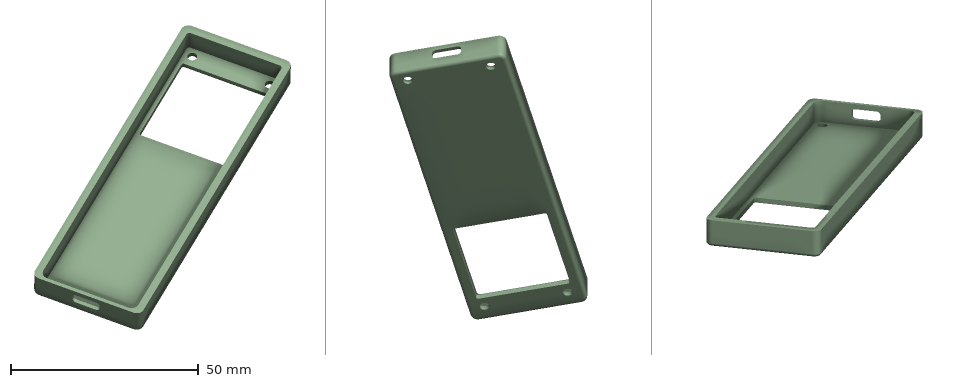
import cadquery as cq
import math

WIDTH = 31.94
OVERALL_LENGTH = 96.15
HEIGHT = 7.5
CORNER_RADIUS = 2.0
BOTTOM_FILLET = 0.95

LEAN_ANGLE = 0.35
SEAM_HEIGHT_BACK = 1.2
LEAN_SLOPE = math.tan(math.radians(LEAN_ANGLE))

BASE_LENGTH = OVERALL_LENGTH - LEAN_SLOPE * (HEIGHT - SEAM_HEIGHT_BACK)
BASE_FRONT = -BASE_LENGTH / 2
BASE_BACK = BASE_LENGTH / 2

FLOOR_THICKNESS = 1.4
SIDE_WALL = 2.0
FRONT_WALL = 1.05
BACK_WALL = 2.35
POCKET_FRONT_RADIUS = 2.0
POCKET_BACK_RADIUS = 1.0

WINDOW_WIDTH = 25.7
WINDOW_LENGTH = 27.2
WINDOW_BACK_MARGIN = 8.1
WINDOW_RADIUS = 0.6

HOLE_DIAMETER = 2.6
HOLE_SPACING_X = 22.8
BACK_HOLE_MARGIN = 4.95
FRONT_HOLE_MARGIN = 3.5

SLOT_WIDTH = 8.0
SLOT_HEIGHT = 3.0
SLOT_RADIUS = 1.0
SLOT_DROP_FROM_RIM = 2.95

CLEARANCE = 2.0


def make_base():
    """Upright block with rounded corners and a filleted underside."""
    block = cq.Workplane("XY").rect(WIDTH, BASE_LENGTH).extrude(HEIGHT)
    block = block.edges("|Z").fillet(CORNER_RADIUS)
    return block.faces("<Z").edges().fillet(BOTTOM_FILLET)


def make_seam_plane():
    """Tilted plane, lower at the back, where the leaning walls start."""
    normal = (0, LEAN_SLOPE, 1)
    return cq.Plane(origin=(0, BASE_BACK, SEAM_HEIGHT_BACK), xDir=(1, 0, 0), normal=normal)


def make_shell_body():
    """Base below the seam joined to the leaning rim above it."""
    seam = make_seam_plane()
    seam_length = BASE_LENGTH / math.cos(math.radians(LEAN_ANGLE))
    seam_center = -seam_length / 2
    margin_width = WIDTH + CLEARANCE
    margin_length = BASE_LENGTH + CLEARANCE
    seam_sketch = cq.Workplane(seam).center(0, seam_center)
    above_seam = seam_sketch.rect(margin_width, margin_length).extrude(HEIGHT + CLEARANCE)
    base = make_base().cut(above_seam)

    rim = seam_sketch.rect(WIDTH, seam_length).extrude(HEIGHT)
    leaning_edges = cq.selectors.ParallelDirSelector(seam.zDir)
    rim = rim.edges(leaning_edges).fillet(CORNER_RADIUS)
    top_plane = cq.Workplane("XY", origin=(0, 0, HEIGHT))
    above_top = top_plane.rect(margin_width, margin_length).extrude(HEIGHT)
    return base.union(rim.cut(above_top))


def make_pocket():
    """Rounded cavity above the floor, tighter at its back corners."""
    front = BASE_FRONT + FRONT_WALL
    back = BASE_BACK - BACK_WALL
    pocket = (
        cq.Workplane("XY", origin=(0, (front + back) / 2, FLOOR_THICKNESS))
        .rect(WIDTH - 2 * SIDE_WALL, back - front)
        .extrude(HEIGHT)
    )
    pocket = pocket.edges("|Z and <Y").fillet(POCKET_FRONT_RADIUS)
    return pocket.edges("|Z and >Y").fillet(POCKET_BACK_RADIUS)


def make_window():
    """Rounded rectangular cutter for the display opening."""
    center_y = BASE_BACK - WINDOW_BACK_MARGIN - WINDOW_LENGTH / 2
    window = (
        cq.Workplane("XY", origin=(0, center_y, 0))
        .rect(WINDOW_WIDTH, WINDOW_LENGTH)
        .extrude(FLOOR_THICKNESS + CLEARANCE)
    )
    return window.edges("|Z").fillet(WINDOW_RADIUS)


def make_screw_holes():
    """Four cylinders, one near each corner of the floor."""
    rows = (BASE_FRONT + FRONT_HOLE_MARGIN, BASE_BACK - BACK_HOLE_MARGIN)
    centers = [(side * HOLE_SPACING_X / 2, y) for side in (-1, 1) for y in rows]
    return (
        cq.Workplane("XY")
        .pushPoints(centers)
        .circle(HOLE_DIAMETER / 2)
        .extrude(FLOOR_THICKNESS + CLEARANCE)
    )


def make_connector_slot():
    """Rounded cutter passing through the front wall only."""
    slot = cq.Workplane("XY", origin=(0, BASE_FRONT, HEIGHT - SLOT_DROP_FROM_RIM)).box(
        SLOT_WIDTH, 2 * (FRONT_WALL + CLEARANCE), SLOT_HEIGHT
    )
    return slot.edges("|Y").fillet(SLOT_RADIUS)


result = (
    make_shell_body()
    .cut(make_pocket())
    .cut(make_window())
    .cut(make_screw_holes())
    .cut(make_connector_slot())
)